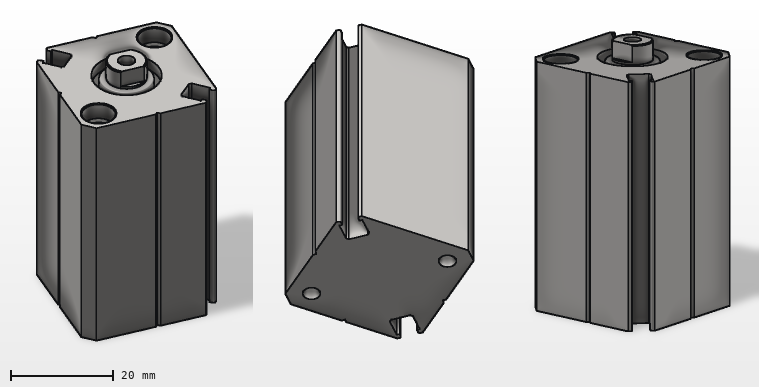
import cadquery as cq
import math

side = 29.0
total_height = 54.0
housing_height = 50.5

corner_chamfer = 2.25
groove_offset = 0.75
groove_half_width = 0.5

slot_floor = 12.35
slot_floor_chamfer = 0.45
slot_lip_inner = 16.75
slot_lip_outer = 17.9
slot_half_width = 2.4
slot_mouth_half_width = 1.8
slot_lip_radius = 0.45

bolt_offset = 9.95
bolt_hole_diameter = 3.4
bolt_hole_chamfer = 0.25
counterbore_diameter = 6.6
counterbore_depth = 3.5
counterbore_chamfer = 0.2

recess_diameter = 13.7
recess_depth = 2.45
collar_diameter = 10.8
collar_radius = 0.5
collar_top_drop = 0.5

rod_diameter = 8.0
rod_flat_width = 6.2
rod_flat_length = 3.5
rod_tip_chamfer = 0.2
rod_hole_diameter = 3.35
rod_hole_depth = 7.55
rod_insertion = 16.2

half_side = side / 2
rod_bottom = housing_height - rod_insertion


def slot_cutter(diagonal_angle):
    """Undercut slot that opens through the corner at the given angle."""
    beyond_corner = side
    floor_half_width = slot_half_width - slot_floor_chamfer
    round_start = slot_lip_outer - slot_lip_radius
    round_end = slot_mouth_half_width + slot_lip_radius
    arc_inset = slot_lip_radius * (1 - math.sqrt(0.5))
    arc_middle = (slot_lip_outer - arc_inset, slot_mouth_half_width + arc_inset)
    half_slot = (
        cq.Workplane("XY")
        .moveTo(slot_floor, 0)
        .lineTo(slot_floor, floor_half_width)
        .lineTo(slot_floor + slot_floor_chamfer, slot_half_width)
        .lineTo(slot_lip_inner, slot_half_width)
        .lineTo(slot_lip_inner, slot_mouth_half_width)
        .lineTo(round_start, slot_mouth_half_width)
        .threePointArc(arc_middle, (slot_lip_outer, round_end))
        .lineTo(slot_lip_outer, half_side)
        .lineTo(beyond_corner, half_side)
        .lineTo(beyond_corner, 0)
        .close().extrude(housing_height)
    )
    slot = half_slot.union(half_slot.mirror("XZ")).clean()
    return slot.rotate((0, 0, 0), (0, 0, 1), diagonal_angle)


def groove_cutter(x, y):
    """Full-height V groove: a square bar on edge, centred on a side face."""
    bar_side = groove_half_width * math.sqrt(2)
    bar = cq.Workplane("XY").rect(bar_side, bar_side).extrude(housing_height)
    return bar.rotate((0, 0, 0), (0, 0, 1), 45).translate((x, y, 0))


def bolt_hole_cutter(x, y):
    """Through hole with a chamfered counterbore from the top, as one revolved profile."""
    hole_radius = bolt_hole_diameter / 2
    bore_radius = counterbore_diameter / 2
    floor_z = housing_height - counterbore_depth
    profile = [
        (0, 0),
        (hole_radius, 0),
        (hole_radius, floor_z - bolt_hole_chamfer),
        (hole_radius + bolt_hole_chamfer, floor_z),
        (bore_radius, floor_z),
        (bore_radius, housing_height - counterbore_chamfer),
        (bore_radius + counterbore_chamfer, housing_height),
        (0, housing_height),
    ]
    cutter = cq.Workplane("XZ").polyline(profile).close().revolve(360, (0, 0), (0, 1))
    return cutter.translate((x, y, 0))


def recess_cutter():
    """Ring-shaped recess that leaves the rounded guide collar standing."""
    recess_floor = housing_height - recess_depth
    recess = (
        cq.Workplane("XY").workplane(offset=recess_floor)
        .circle(recess_diameter / 2).extrude(recess_depth)
    )
    collar = (
        cq.Workplane("XY").workplane(offset=recess_floor)
        .circle(collar_diameter / 2).extrude(recess_depth - collar_top_drop)
        .faces(">Z").fillet(collar_radius)
    )
    return recess.cut(collar)


def make_housing():
    housing = cq.Workplane("XY").rect(side, side).extrude(housing_height)
    for corner in ("<X and >Y", ">X and <Y"):
        housing = housing.edges("|Z").edges(corner).chamfer(corner_chamfer)
    for diagonal_angle in (45, 225):
        housing = housing.cut(slot_cutter(diagonal_angle))
    groove_centres = [
        (-half_side, -groove_offset),
        (half_side, groove_offset),
        (groove_offset, -half_side),
    ]
    for x, y in groove_centres:
        housing = housing.cut(groove_cutter(x, y))
    for direction in (1, -1):
        housing = housing.cut(bolt_hole_cutter(direction * bolt_offset, -direction * bolt_offset))
    housing = housing.cut(recess_cutter())
    rod_bore = (
        cq.Workplane("XY").workplane(offset=rod_bottom)
        .circle(rod_diameter / 2).extrude(rod_insertion)
    )
    return housing.cut(rod_bore)


def make_rod():
    rod_length = total_height - rod_bottom
    rod = (
        cq.Workplane("XY").workplane(offset=rod_bottom)
        .circle(rod_diameter / 2).extrude(rod_length)
        .faces(">Z").chamfer(rod_tip_chamfer)
    )
    for direction in (-1, 1):
        flat = (
            cq.Workplane("XY").workplane(offset=total_height - rod_flat_length)
            .center(direction * (rod_flat_width + rod_diameter) / 2, 0)
            .rect(rod_diameter, rod_diameter).extrude(rod_flat_length)
        )
        rod = rod.cut(flat)
    tapped_hole = (
        cq.Workplane("XY").workplane(offset=total_height - rod_hole_depth)
        .circle(rod_hole_diameter / 2).extrude(rod_hole_depth)
    )
    return rod.cut(tapped_hole)


housing = make_housing()
rod = make_rod()

result = cq.Compound.makeCompound([housing.val(), rod.val()])